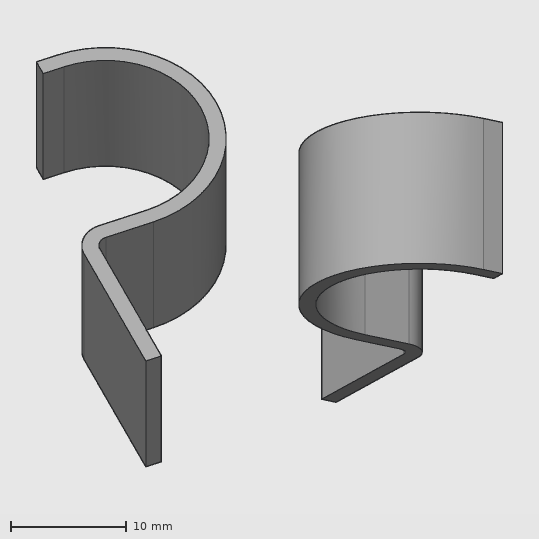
import cadquery as cq
import math

total_length = 35.5
strip_width = 14.0
thickness = 1.5
saddle_radius = 10.5
short_leg = 2.0
long_leg = 4.5
bend_inner_radius = 1.0

saddle_inner_radius = saddle_radius - thickness
bend_outer_radius = bend_inner_radius + thickness
bend_x = saddle_radius + bend_inner_radius
bend_y = -long_leg
flange_top = bend_y - bend_inner_radius
flange_bottom = bend_y - bend_outer_radius
flange_end = total_length - saddle_radius


def bend_midpoint(radius):
    """Middle of the quarter-round bend between the long leg and the flange."""
    offset = radius * math.sqrt(0.5)
    return (bend_x - offset, bend_y - offset)


result = (
    cq.Workplane("XY")
    .moveTo(-saddle_radius, -short_leg)
    .lineTo(-saddle_radius, 0)
    .threePointArc((0, saddle_radius), (saddle_radius, 0))
    .lineTo(saddle_radius, bend_y)
    .threePointArc(bend_midpoint(bend_inner_radius), (bend_x, flange_top))
    .lineTo(flange_end, flange_top)
    .lineTo(flange_end, flange_bottom)
    .lineTo(bend_x, flange_bottom)
    .threePointArc(bend_midpoint(bend_outer_radius), (saddle_inner_radius, bend_y))
    .lineTo(saddle_inner_radius, 0)
    .threePointArc((0, saddle_inner_radius), (-saddle_inner_radius, 0))
    .lineTo(-saddle_inner_radius, -short_leg)
    .close()
    .extrude(strip_width)
)